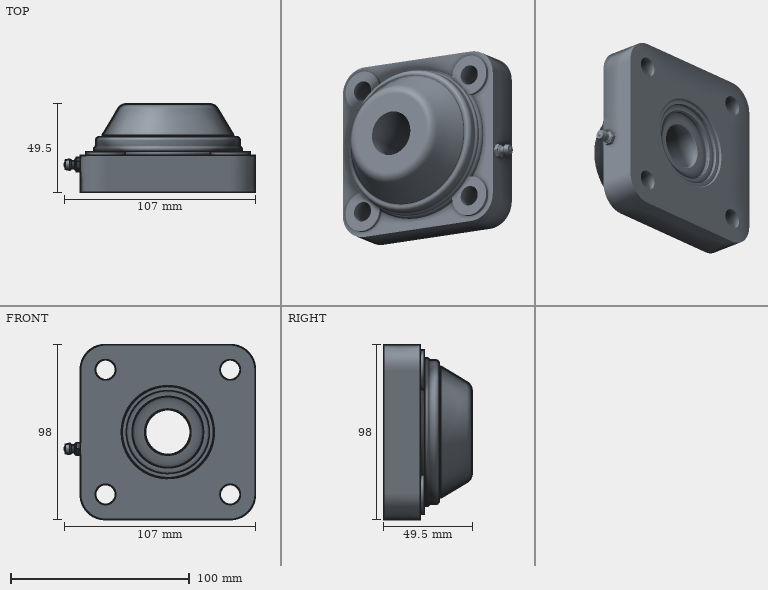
import cadquery as cq


overall_width = 107

flange_side = 98.0
flange_thickness = 20.7
corner_radius = 14.1
bolt_offset = flange_side / 2 - corner_radius
bolt_hole_radius = 5.6
pad_radius = 11.1
pad_height = 2.1
boss_radius = 42.8
boss_top = 23.1
boss_rounding = boss_top - flange_thickness
mouth_radius = 26.0
mouth_chamfer = 0.4
bearing_radius = mouth_radius - mouth_chamfer
bore_radius = 12.5

bearing_front = 1.4
seal_step_radius = 23.2
seal_face = 3.4
recess_radius = 20.0
recess_step = 4.5
recess_floor_radius = 19.8
inner_ring_face = 6.2
bearing_back = 16.6
bore_chamfer = 0.4

spigot_radius = 36.4
cap_seat = 20.1
lip_radius = 41.5
lip_edge = 24.4
body_radius = 40.4
body_edge = 26.2
shoulder_top = 31.2
shoulder_fillet = 2.4
cone_base = 32.1
cone_base_radius = 36.8
cone_top_radius = 26.3
cap_top = 49.5
cap_top_fillet = 5.8

nipple_y = 15.5
nipple_z = -9.4
nipple_length = overall_width - flange_side
hex_flats = 7.0
hex_length = 2.1
collar_radius = 3.2
collar_end = 2.5
neck_radius = 2.2
neck_start = 3.3
neck_end = 4.9
head_radius = 3.1
head_peak = 6.0
head_front_radius = 2.6
head_front = 8.5
tip_radius = 1.3
tip_height = nipple_length - head_front
tip_dome_radius = (tip_radius**2 + tip_height**2) / (2 * tip_height)


def disc(radius, start, end):
    """Cylinder on the shaft axis between two Y positions."""
    return cq.Workplane("XZ", origin=(0, start, 0)).circle(radius).extrude(start - end)


def bolt_discs(radius, start, end):
    """Four cylinders on the bolt pattern between two Y positions."""
    spacing = 2 * bolt_offset
    return (
        cq.Workplane("XZ", origin=(0, start, 0))
        .rarray(spacing, spacing, 2, 2)
        .circle(radius)
        .extrude(start - end)
    )


def revolve_profile(points):
    """Solid of revolution about the shaft axis from (radius, y) points."""
    return cq.Workplane("XY").polyline(points).close().revolve(360, (0, 0, 0), (0, 1, 0))


def make_housing():
    flange = (
        cq.Workplane("XZ")
        .rect(flange_side, flange_side)
        .extrude(-flange_thickness)
        .edges("|Y")
        .fillet(corner_radius)
    )
    boss = disc(boss_radius, 0, boss_top).faces(">Y").edges().fillet(boss_rounding)
    boss = boss.intersect(disc(boss_radius, flange_thickness, boss_top))
    pads = bolt_discs(pad_radius, flange_thickness, flange_thickness + pad_height)
    body = flange.union(boss).union(pads)
    body = body.cut(bolt_discs(bolt_hole_radius, 0, boss_top))
    openings = revolve_profile([
        (0, 0),
        (mouth_radius, 0),
        (bearing_radius, mouth_chamfer),
        (bearing_radius, bearing_back),
        (bore_radius, bearing_back),
        (bore_radius, cap_seat),
        (spigot_radius, cap_seat),
        (spigot_radius, boss_top),
        (0, boss_top),
    ])
    return body.cut(openings)


def make_bearing():
    return revolve_profile([
        (bearing_radius, bearing_front),
        (bearing_radius, bearing_back),
        (bore_radius, bearing_back),
        (bore_radius, inner_ring_face + bore_chamfer),
        (bore_radius + bore_chamfer, inner_ring_face),
        (recess_floor_radius, inner_ring_face),
        (recess_floor_radius, recess_step),
        (recess_radius, recess_step),
        (recess_radius, seal_face),
        (seal_step_radius, seal_face),
        (seal_step_radius, bearing_front),
    ])


def make_cap():
    cap = (
        cq.Workplane("XY")
        .moveTo(bore_radius, cap_seat)
        .lineTo(spigot_radius, cap_seat)
        .lineTo(spigot_radius, boss_top)
        .lineTo(lip_radius, boss_top)
        .lineTo(lip_radius, lip_edge)
        .spline([(body_radius, body_edge)], tangents=[(0, 1), (0, 1)], includeCurrent=True)
        .lineTo(body_radius, shoulder_top - shoulder_fillet)
        .tangentArcPoint((body_radius - shoulder_fillet, shoulder_top), relative=False)
        .lineTo(cone_base_radius, shoulder_top)
        .lineTo(cone_base_radius, cone_base)
        .lineTo(cone_top_radius, cap_top)
        .lineTo(bore_radius, cap_top)
        .close()
        .revolve(360, (0, 0, 0), (0, 1, 0))
    )
    return cap.faces(">Y").edges(cq.selectors.RadiusNthSelector(-1)).fillet(cap_top_fillet)


def make_nipple():
    outward = cq.Plane(origin=(-flange_side / 2, nipple_y, nipple_z), xDir=(0, 0, 1), normal=(-1, 0, 0))
    hexagon = cq.Workplane(outward).polygon(6, hex_flats, circumscribed=True).extrude(hex_length)
    head = (
        cq.Workplane(outward)
        .transformed(rotate=(90, 0, 0))
        .lineTo(collar_radius, 0)
        .lineTo(collar_radius, collar_end)
        .lineTo(neck_radius, neck_start)
        .lineTo(neck_radius, neck_end)
        .lineTo(head_radius, head_peak)
        .lineTo(head_front_radius, head_front)
        .lineTo(tip_radius, head_front)
        .radiusArc((0, nipple_length), -tip_dome_radius)
        .close()
        .revolve(360, (0, 0, 0), (0, 1, 0))
    )
    return hexagon.union(head)


housing = make_housing().solids()
bearing = make_bearing().solids()
cap = make_cap().solids()
nipple = make_nipple().solids()

result = cq.Compound.makeCompound([housing.val(), bearing.val(), cap.val(), nipple.val()])